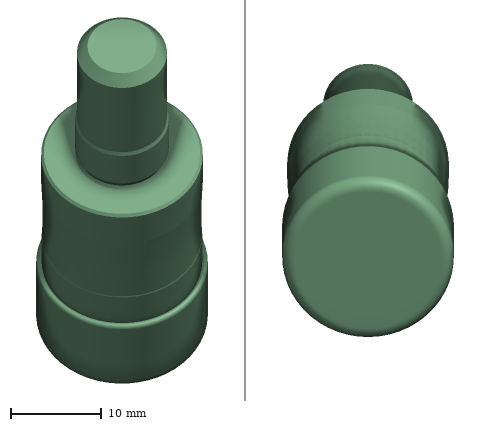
import cadquery as cq

total_height = 49.0

stud_radius = 5.0
tip_chamfer = 1.2
shoulder_radius = 5.2
shoulder_top = 35.95
shoulder_chamfer_height = 0.45

undercut_top = 31.05
undercut_upper_edge = 30.7
undercut_floor_top = 30.4
undercut_floor_bottom = 30.3
undercut_edge_radius = 4.95
undercut_floor_radius = 4.85

housing_radius = 8.95
barrel_radius = 8.9
housing_top = 30.05
housing_chamfer = 0.3
waist_top = 25.05
waist_bottom = 15.6
waist_middle_radius = 8.8
waist_bottom_radius = 8.85
waist_ledge_height = 0.15

cap_diameter = 19.05
cap_radius = cap_diameter / 2
cap_height = 10.9
cap_floor = 1.45
cap_bottom_fillet = 1.3
cap_rim_fillet = 0.45


def make_plunger():
    """Housing and stud as one body turned about Z, from the cap floor up to the stud tip."""
    outline = (
        cq.Workplane("XZ")
        .moveTo(0, cap_floor)
        .lineTo(barrel_radius, cap_floor)
        .lineTo(barrel_radius, waist_bottom - waist_ledge_height)
        .lineTo(waist_bottom_radius, waist_bottom)
        .threePointArc(
            (waist_middle_radius, (waist_bottom + waist_top) / 2),
            (housing_radius, waist_top),
        )
        .lineTo(housing_radius, housing_top - housing_chamfer)
        .lineTo(housing_radius - housing_chamfer, housing_top)
        .lineTo(shoulder_radius, housing_top)
        .lineTo(undercut_floor_radius, undercut_floor_bottom)
        .lineTo(undercut_floor_radius, undercut_floor_top)
        .lineTo(undercut_edge_radius, undercut_upper_edge)
        .lineTo(shoulder_radius, undercut_top)
        .lineTo(shoulder_radius, shoulder_top)
        .lineTo(stud_radius, shoulder_top + shoulder_chamfer_height)
        .lineTo(stud_radius, total_height - tip_chamfer)
        .lineTo(stud_radius - tip_chamfer, total_height)
        .lineTo(0, total_height)
        .close()
    )
    return outline.revolve(360, (0, 0), (0, 1))


def make_cap():
    """Round cup with filleted outer edges and a bore that fits the housing."""
    cup = cq.Workplane("XY").circle(cap_radius).extrude(cap_height)
    cup = cup.faces("<Z").edges().fillet(cap_bottom_fillet)
    cup = cup.faces(">Z").edges().fillet(cap_rim_fillet)
    bore = (
        cq.Workplane("XY", origin=(0, 0, cap_floor))
        .circle(barrel_radius)
        .extrude(cap_height - cap_floor)
    )
    return cup.cut(bore)


plunger = make_plunger()
cap = make_cap()

result = cq.Compound.makeCompound([plunger.val(), cap.val()])